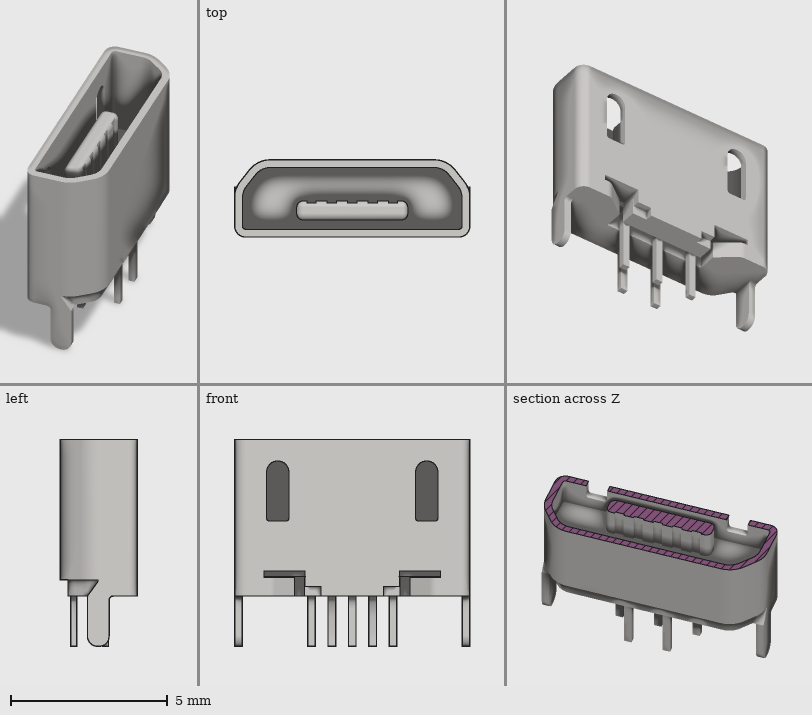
import cadquery as cq


WIDTH = 7.5
DEPTH = 2.47
HEIGHT = 5.0
WALL = 0.25
HALF_WIDTH = WIDTH / 2
FRONT_RADIUS = 0.35
BACK_RADIUS = 0.85
BACK_CORNER_X = 3.02
BACK_CORNER_Y = 1.55

CAVITY_FLOOR_Z = 1.97
TONGUE_HALF_WIDTH = 1.77
TONGUE_FRONT_Y = 0.55
TONGUE_BACK_Y = 1.15
TONGUE_TOP_Z = 4.0
TONGUE_RADIUS = 0.2
CONTACT_WIDTH = 0.3
CONTACT_GROOVE_DEPTH = 0.06

WINDOW_X = 2.375
WINDOW_WIDTH = 0.71
WINDOW_BOTTOM_Z = 2.39
WINDOW_TOP_Z = 4.31
WINDOW_BOTTOM_RADIUS = 0.1
WINDOW_TOP_RADIUS = 0.35

NOTCH_INNER_X = 1.5
NOTCH_OUTER_X = 2.81
NOTCH_TOP_Z = 0.81
STEP_INNER_X = 0.99
STEP_TOP_Z = 0.31
TAB_TOP_Z = 0.605
TAB_BEND_X = 2.675
TAB_RAMP_START_X = 2.49
TAB_END_X = 1.84
TAB_BEND_DEPTH = 0.06
TAB_DEPTH = 0.55

POCKET_INNER_X = 1.525
POCKET_BACK_Y = TAB_DEPTH + WALL
POCKET_LEDGE_Z = 0.625
RECESS_BACK_Y = 1.2

RELIEF_TOP_Z = 0.52
RELIEF_FRONT_Y = 1.26
RELIEF_CORNER_Z = 0.47
LEG_FRONT_Y = 0.9
LEG_BACK_Y = 1.6
LEG_TIP_RADIUS = 0.33
LEG_ROOT_RADIUS = 0.13
LEG_LENGTH = 1.6

PIN_COUNT = 5
PIN_PITCH = 0.65
PIN_WIDTH = 0.25
PIN_THICKNESS = 0.2
PIN_LENGTH = LEG_LENGTH
PIN_TOP_Z = 1.0
PIN_FRONT_ROW_Y = 0.92
PIN_BACK_ROW_Y = 1.93

SIDES = (-1, 1)
CONTACT_XS = [(i - (PIN_COUNT - 1) / 2) * PIN_PITCH for i in range(PIN_COUNT)]


def box(x_range, y_range, z_range):
    """Axis-aligned block spanning the three ranges, each given in either order."""
    (x0, x1), (y0, y1), (z0, z1) = sorted(x_range), sorted(y_range), sorted(z_range)
    return cq.Workplane("XY").box(x1 - x0, y1 - y0, z1 - z0, centered=False).translate((x0, y0, z0))


def shell_block():
    """Solid block with the outer outline of the shell."""
    outline = [
        (-HALF_WIDTH, 0),
        (HALF_WIDTH, 0),
        (HALF_WIDTH, BACK_CORNER_Y),
        (BACK_CORNER_X, DEPTH),
        (-BACK_CORNER_X, DEPTH),
        (-HALF_WIDTH, BACK_CORNER_Y),
    ]
    block = cq.Workplane("XY").polyline(outline).close().extrude(HEIGHT)
    front_edges = cq.selectors.BoxSelector((-WIDTH, -WALL, 0), (WIDTH, WALL, HEIGHT))
    back_edges = cq.selectors.BoxSelector((-WIDTH, WALL, 0), (WIDTH, DEPTH + WALL, HEIGHT))
    block = block.edges("|Z").edges(front_edges).fillet(FRONT_RADIUS)
    return block.edges("|Z").edges(back_edges).fillet(BACK_RADIUS)


def cavity_block(height):
    """Solid with the inner outline of the shell, from Z = 0 up to the given height."""
    base = shell_block().faces("<Z").wires()
    return cq.Workplane("XY").add(base.val()).toPending().offset2D(-WALL).extrude(height)


def window(side):
    """Cutter for one front window: rounded top, small radii at the bottom."""
    x = side * WINDOW_X
    cutter = box(
        (x - WINDOW_WIDTH / 2, x + WINDOW_WIDTH / 2),
        (0, WALL),
        (WINDOW_BOTTOM_Z, WINDOW_TOP_Z),
    )
    cutter = cutter.edges("|Y and >Z").fillet(WINDOW_TOP_RADIUS)
    return cutter.edges("|Y and <Z").fillet(WINDOW_BOTTOM_RADIUS)


def back_relief():
    """Cutter that clears the lower back of the shell behind the legs."""
    profile = [
        (RELIEF_FRONT_Y, RELIEF_TOP_Z),
        (RELIEF_FRONT_Y, RELIEF_CORNER_Z),
        (LEG_BACK_Y, 0),
        (DEPTH + WALL, 0),
        (DEPTH + WALL, RELIEF_TOP_Z),
    ]
    return cq.Workplane("YZ").polyline(profile).close().extrude(HALF_WIDTH, both=True)


def front_notch(side):
    """Cutter for one stepped notch in the lower front edge, sparing the root of the tab."""
    notch = box((side * NOTCH_INNER_X, side * TAB_BEND_X), (0, WALL), (0, NOTCH_TOP_Z))
    step = box((side * STEP_INNER_X, side * NOTCH_INNER_X), (0, WALL), (0, STEP_TOP_Z))
    slot = box((side * TAB_BEND_X, side * NOTCH_OUTER_X), (0, WALL), (TAB_TOP_Z, NOTCH_TOP_Z))
    return notch.union(step).union(slot)


def make_shell():
    """Sheet-metal sleeve with windows, front notches and the back relief."""
    shell = shell_block().cut(cavity_block(HEIGHT)).cut(back_relief())
    for side in SIDES:
        shell = shell.cut(window(side)).cut(front_notch(side))
    return shell


def make_tongue():
    """Contact tongue with rounded edges and a groove per contact on its back face."""
    tongue = box(
        (-TONGUE_HALF_WIDTH, TONGUE_HALF_WIDTH),
        (TONGUE_FRONT_Y, TONGUE_BACK_Y),
        (CAVITY_FLOOR_Z, TONGUE_TOP_Z),
    )
    tongue = tongue.edges("|Z or >Z").fillet(TONGUE_RADIUS)
    for x in CONTACT_XS:
        tongue = tongue.cut(box(
            (x - CONTACT_WIDTH / 2, x + CONTACT_WIDTH / 2),
            (TONGUE_BACK_Y - CONTACT_GROOVE_DEPTH, TONGUE_BACK_Y),
            (CAVITY_FLOOR_Z, TONGUE_TOP_Z),
        ))
    return tongue


def tab_pocket(side):
    """Cutter behind one notch: a slot above the tab, and room for the tab below it."""
    slot = box(
        (side * NOTCH_INNER_X, side * NOTCH_OUTER_X),
        (0, POCKET_BACK_Y),
        (POCKET_LEDGE_Z, NOTCH_TOP_Z),
    )
    tab_room = [
        (side * POCKET_INNER_X, 0),
        (side * TAB_BEND_X, 0),
        (side * TAB_BEND_X, WALL),
        (side * TAB_END_X, POCKET_BACK_Y),
        (side * POCKET_INNER_X, POCKET_BACK_Y),
    ]
    return slot.union(cq.Workplane("XY").polyline(tab_room).close().extrude(POCKET_LEDGE_Z))


def make_body():
    """Insulator filling the bottom of the shell, with its pockets, recess and tongue."""
    body = cavity_block(CAVITY_FLOOR_Z)
    for side in SIDES:
        body = body.cut(tab_pocket(side))
    recess = box((-TAB_END_X, TAB_END_X), (POCKET_BACK_Y, RECESS_BACK_Y), (0, POCKET_LEDGE_Z))
    return body.cut(recess).union(make_tongue())


def make_tab(side):
    """Retaining tab: bends inward from the front wall, then ramps into the body pocket."""
    bend_middle_x = (TAB_BEND_X + TAB_RAMP_START_X) / 2
    bend_middle = (side * bend_middle_x, TAB_BEND_DEPTH / 4)
    return (
        cq.Workplane("XY")
        .moveTo(side * NOTCH_OUTER_X, 0)
        .lineTo(side * TAB_BEND_X, 0)
        .threePointArc(bend_middle, (side * TAB_RAMP_START_X, TAB_BEND_DEPTH))
        .lineTo(side * TAB_END_X, TAB_DEPTH)
        .lineTo(side * TAB_END_X, POCKET_BACK_Y)
        .lineTo(side * TAB_BEND_X, WALL)
        .lineTo(side * NOTCH_OUTER_X, WALL)
        .close()
        .extrude(TAB_TOP_Z)
    )


def make_leg(side):
    """Flat solder leg that continues the side wall below the seating plane."""
    leg = box(
        (side * (HALF_WIDTH - WALL), side * HALF_WIDTH),
        (LEG_FRONT_Y, LEG_BACK_Y),
        (-LEG_LENGTH, 0),
    )
    leg = leg.edges("|X and <Z").fillet(LEG_TIP_RADIUS)
    shoulder = [
        (LEG_FRONT_Y, 0),
        (LEG_BACK_Y, 0),
        (RELIEF_FRONT_Y, RELIEF_CORNER_Z),
        (LEG_FRONT_Y, RELIEF_CORNER_Z),
    ]
    inner_x = HALF_WIDTH - WALL if side > 0 else -HALF_WIDTH
    plane = cq.Workplane("YZ", origin=(inner_x, 0, 0))
    leg = leg.union(plane.polyline(shoulder).close().extrude(WALL))
    root_middle = LEG_ROOT_RADIUS * (1 - 0.5 ** 0.5)
    root = (
        plane.moveTo(LEG_FRONT_Y, 0)
        .lineTo(LEG_FRONT_Y, -LEG_ROOT_RADIUS)
        .threePointArc(
            (LEG_FRONT_Y - root_middle, -root_middle),
            (LEG_FRONT_Y - LEG_ROOT_RADIUS, 0),
        )
        .close()
        .extrude(WALL)
    )
    return leg.union(root)


def make_pin(index):
    """Contact pin; the second and fourth pins sit in the back row."""
    x = CONTACT_XS[index]
    y = PIN_BACK_ROW_Y if index % 2 else PIN_FRONT_ROW_Y
    return box(
        (x - PIN_WIDTH / 2, x + PIN_WIDTH / 2),
        (y, y + PIN_THICKNESS),
        (-PIN_LENGTH, PIN_TOP_Z),
    )


result = make_shell().union(make_body())
for side in SIDES:
    result = result.union(make_tab(side)).union(make_leg(side))
for index in range(PIN_COUNT):
    result = result.union(make_pin(index))